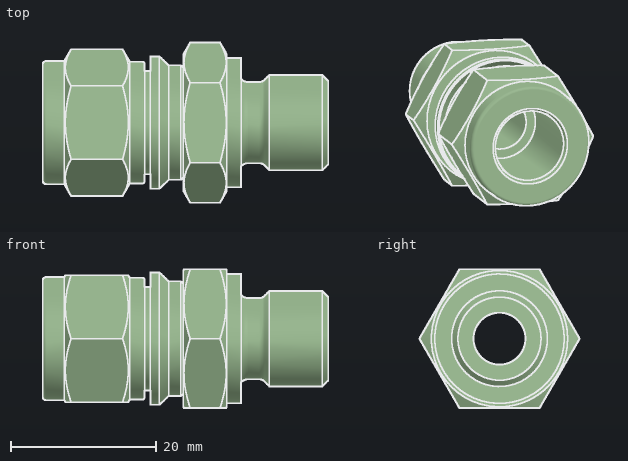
import cadquery as cq
import math

LENGTH = 39.3
nut_start = 3.0
nut_end = 12.0
nut_collar_end = 14.05
flange_start = 14.82
neck_end = 15.72
flange_end = 16.08
body_start = 17.35
body_hex_start = 19.35
body_hex_end = 25.35
washer_end = 27.32
relief_start = 28.25
relief_end = 29.8

nose_dia = 17.0
nut_collar_dia = 16.8
neck_dia = 14.25
core_dia = 13.05
flange_dia = 18.25
flange_dish_dia = 17.8
body_dia = 15.8
washer_dia = 17.8
relief_dia = 11.2
thread_dia = 13.15

nut_flats = 17.5
body_hex_flats = 19.1
body_hex_face_dia = 18.75
corner_slope = math.tan(math.radians(30))

nose_fillet = 0.5
nut_collar_fillet = 0.3
body_chamfer = 0.3
thread_chamfer = 0.85
left_flare_rise = 0.4
blend_radius = 1.02

bore_dia = 7.1
tube_dia = 9.75
tube_depth = 14.95
tube_mouth_chamfer = 0.45


def cylinder(start, end, diameter):
    """Solid cylinder along X."""
    return cq.Workplane("YZ").workplane(offset=start).circle(diameter / 2).extrude(end - start)


def revolve_about_x(profile):
    """Turn a closed (x, radius) profile about the X axis."""
    return profile.close().revolve(360, (0, 0, 0), (1, 0, 0))


def trimmed_hex(start, end, flats, start_dia, end_dia):
    """Hexagon with corners on the Y axis, trimmed by a cone at each end."""
    corner_dia = flats / math.cos(math.radians(30))
    hexagon = cq.Workplane("YZ").workplane(offset=start).polygon(6, corner_dia).extrude(end - start)
    trim_radius = corner_dia / 2 + 0.4
    start_run = (trim_radius - start_dia / 2) * corner_slope
    end_run = (trim_radius - end_dia / 2) * corner_slope
    envelope = revolve_about_x(
        cq.Workplane("XY")
        .moveTo(start, 0)
        .lineTo(start, start_dia / 2)
        .lineTo(start + start_run, trim_radius)
        .lineTo(end - end_run, trim_radius)
        .lineTo(end, end_dia / 2)
        .lineTo(end, 0)
    )
    return hexagon.intersect(envelope)


def flange():
    """Rim with a 45 degree dished front and a conical back running down to the body."""
    core_radius = core_dia / 2
    dish_radius = flange_dish_dia / 2
    dish_depth = dish_radius - core_radius
    return revolve_about_x(
        cq.Workplane("XY")
        .moveTo(flange_start, 0)
        .lineTo(flange_start, core_radius)
        .lineTo(flange_start + dish_depth, core_radius)
        .lineTo(flange_start, dish_radius)
        .lineTo(flange_start, flange_dia / 2)
        .lineTo(flange_end, flange_dia / 2)
        .lineTo(body_start, body_dia / 2)
        .lineTo(body_start, 0)
    )


def threaded_end():
    """Relief groove blended into the washer face and the thread cone, then the thread."""
    relief_radius = relief_dia / 2
    thread_radius = thread_dia / 2
    diagonal = math.sqrt(0.5)
    blend_run = blend_radius * diagonal
    blend_rise = blend_radius * (1 - diagonal)
    cone_radius = relief_radius + blend_rise
    cone_start = relief_end + blend_run
    thread_start = cone_start + thread_radius - cone_radius
    flare_run = relief_start - washer_end
    flare_radius = (flare_run**2 + left_flare_rise**2) / (2 * left_flare_rise)
    flare_mid_run = flare_run / 2
    flare_mid_rise = flare_radius - math.sqrt(flare_radius**2 - flare_mid_run**2)
    return revolve_about_x(
        cq.Workplane("XY")
        .moveTo(washer_end, 0)
        .lineTo(washer_end, relief_radius + left_flare_rise)
        .threePointArc(
            (relief_start - flare_mid_run, relief_radius + flare_mid_rise),
            (relief_start, relief_radius),
        )
        .lineTo(relief_end, relief_radius)
        .tangentArcPoint((cone_start, cone_radius), relative=False)
        .lineTo(thread_start, thread_radius)
        .lineTo(LENGTH - thread_chamfer, thread_radius)
        .lineTo(LENGTH, thread_radius - thread_chamfer)
        .lineTo(LENGTH, 0)
    )


nose = cylinder(0, nut_start, nose_dia).faces("<X").edges().fillet(nose_fillet)
nut = trimmed_hex(nut_start, nut_end, nut_flats, nose_dia, nut_collar_dia)
nut_collar = cylinder(nut_end, nut_collar_end, nut_collar_dia).faces(">X").edges().fillet(nut_collar_fillet)
neck = cylinder(nut_collar_end, neck_end, neck_dia)

body = cylinder(body_start, body_hex_start, body_dia).faces(">X").chamfer(body_chamfer)
body_hex = trimmed_hex(
    body_hex_start, body_hex_end, body_hex_flats, body_hex_face_dia, body_hex_face_dia
)
washer = cylinder(body_hex_end, washer_end, washer_dia)

result = nose
for section in (nut, nut_collar, neck, flange(), body, body_hex, washer, threaded_end()):
    result = result.union(section)

socket = cylinder(0, tube_depth, tube_dia)
mouth = revolve_about_x(
    cq.Workplane("XY")
    .lineTo(0, tube_dia / 2 + tube_mouth_chamfer)
    .lineTo(tube_mouth_chamfer, tube_dia / 2)
    .lineTo(tube_mouth_chamfer, 0)
)
result = result.cut(socket).cut(mouth).cut(cylinder(0, LENGTH, bore_dia))